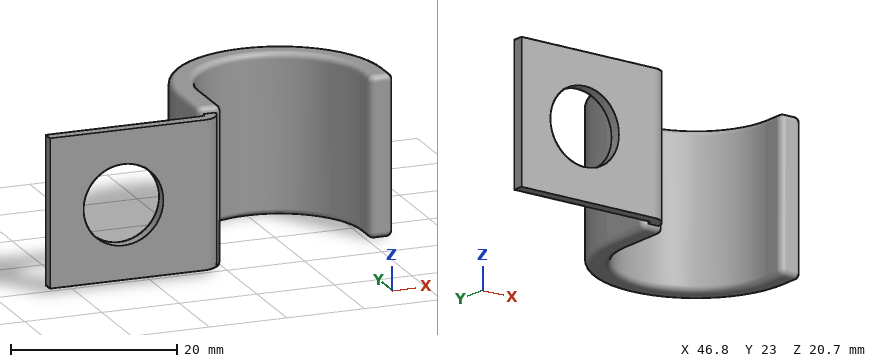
import cadquery as cq

overall_length = 46.75
overall_depth = 22.95
strap_thickness = 1.5
strap_width = 19.05
cushion_thickness = 0.8
outer_radius = 13.4
long_leg_end = 2.25
short_leg_end = 6.3
bend_inner_radius = 0.75
hole_diameter = 10.3
hole_from_tab_end = 9.5

loop_thickness = strap_thickness + 2 * cushion_thickness
loop_width = strap_width + 2 * cushion_thickness
inner_radius = outer_radius - loop_thickness
center_x = overall_length - outer_radius
center_y = overall_depth - outer_radius
strap_outer_x = center_x - outer_radius + cushion_thickness
strap_inner_x = strap_outer_x + strap_thickness
bend_outer_radius = bend_inner_radius + strap_thickness


def make_cushioned_loop():
    """Half-round loop with two straight legs and all edges rounded."""
    outline = (
        cq.Workplane("XY")
        .workplane(offset=-loop_width / 2)
        .moveTo(center_x - outer_radius, long_leg_end)
        .lineTo(center_x - outer_radius, center_y)
        .threePointArc((center_x, center_y + outer_radius), (center_x + outer_radius, center_y))
        .lineTo(center_x + outer_radius, short_leg_end)
        .lineTo(center_x + inner_radius, short_leg_end)
        .lineTo(center_x + inner_radius, center_y)
        .threePointArc((center_x, center_y + inner_radius), (center_x - inner_radius, center_y))
        .lineTo(center_x - inner_radius, long_leg_end)
        .close()
    )
    loop = outline.extrude(loop_width)
    return loop.faces("|Z or |Y").edges().fillet(cushion_thickness)


def make_mounting_tab():
    """Flat tab bent into the long leg, with a round mounting hole."""
    blank = (
        cq.Workplane("XY")
        .workplane(offset=-strap_width / 2)
        .lineTo(strap_inner_x - bend_outer_radius, 0)
        .radiusArc((strap_inner_x, bend_outer_radius), -bend_outer_radius)
        .lineTo(strap_inner_x, center_y)
        .lineTo(strap_outer_x, center_y)
        .lineTo(strap_outer_x, bend_outer_radius)
        .radiusArc((strap_outer_x - bend_inner_radius, strap_thickness), bend_inner_radius)
        .lineTo(0, strap_thickness)
        .close()
        .extrude(strap_width)
    )
    hole = (
        cq.Workplane("XZ")
        .center(hole_from_tab_end, 0)
        .circle(hole_diameter / 2)
        .extrude(-strap_thickness)
    )
    return blank.cut(hole)


result = make_cushioned_loop().union(make_mounting_tab())